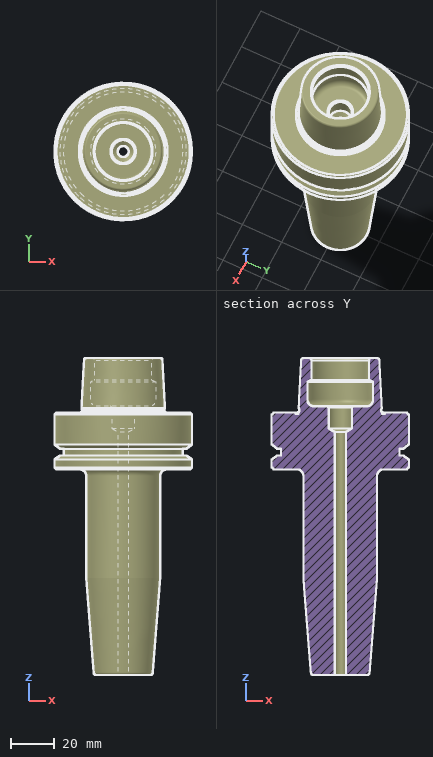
import cadquery as cq
import math

total_height = 145.0

flange_radius = 31.5
flange_top = 120.0
flange_bottom = 94.0
flange_chamfer = 1.0
groove_radius = 27.3
groove_ledge_radius = 28.9
groove_upper_edge = 105.4
groove_upper_floor = 103.4
groove_lower_floor = 100.5
groove_lower_edge = 98.6

taper_top_radius = 18.0
taper_base_radius = 19.1
taper_base = 122.1
taper_lip_fillet = 1.0
relief_radius = 18.8
relief_top = 121.4
relief_bottom = 120.6
root_radius = 19.3
root_top = 120.4
recess_outer_radius = 20.3
recess_depth = 0.6

neck_radius = 17.0
neck_fillet = 2.9
nose_cone_top = 44.4
nose_angle = math.radians(4.5)
nose_fillet = 1.0

mouth_radius = 13.5
mouth_chamfer_depth = 1.2
cavity_radius = 13.0
cavity_lip_depth = 10.0
shoulder_angle = math.radians(30)
chamber_radius = 15.0
cavity_depth = 22.0
cavity_floor_fillet = 2.9

bore_radius = 5.2
bore_chamfer = 0.6
bore_depth = 10.2
bore_tip_angle = math.radians(59)
through_radius = 2.5

cavity_floor = total_height - cavity_depth
nose_tip_radius = neck_radius - nose_cone_top * math.tan(nose_angle)


def arc_middle(center_r, center_z, radius, degrees):
    """Point on an arc in the radius-height plane, at an angle measured from the outward direction."""
    angle = math.radians(degrees)
    return (center_r + radius * math.cos(angle), center_z + radius * math.sin(angle))


def nose_radius(z):
    """Radius of the nose cone at height z."""
    return nose_tip_radius + z * math.tan(nose_angle)


def revolve_about_axis(profile):
    """Full turn of a radius-height profile around the Z axis."""
    return profile.revolve(360, (0, 0, 0), (0, 1, 0))


def make_outer_body():
    """Solid of the nose, neck, flange and taper, from the tip upward."""
    neck_arc_center_r = neck_radius + neck_fillet
    neck_arc_center_z = flange_bottom - neck_fillet
    lip_center_r = taper_top_radius - taper_lip_fillet
    lip_center_z = total_height - taper_lip_fillet
    recess_floor = flange_top - recess_depth
    profile = (
        cq.Workplane("XZ")
        .moveTo(0, 0)
        .lineTo(nose_tip_radius - nose_fillet, 0)
        .threePointArc(
            arc_middle(nose_tip_radius - nose_fillet, nose_fillet, nose_fillet, -45),
            (nose_radius(nose_fillet), nose_fillet),
        )
        .lineTo(neck_radius, nose_cone_top)
        .lineTo(neck_radius, neck_arc_center_z)
        .threePointArc(
            arc_middle(neck_arc_center_r, neck_arc_center_z, neck_fillet, 135),
            (neck_arc_center_r, flange_bottom),
        )
        .lineTo(flange_radius - flange_chamfer, flange_bottom)
        .lineTo(flange_radius, flange_bottom + flange_chamfer)
        .lineTo(flange_radius, groove_lower_edge)
        .lineTo(groove_ledge_radius, groove_lower_floor)
        .lineTo(groove_radius, groove_lower_floor)
        .lineTo(groove_radius, groove_upper_floor)
        .lineTo(groove_ledge_radius, groove_upper_floor)
        .lineTo(flange_radius, groove_upper_edge)
        .lineTo(flange_radius, flange_top - flange_chamfer)
        .lineTo(flange_radius - flange_chamfer, flange_top)
        .lineTo(recess_outer_radius, flange_top)
        .lineTo(recess_outer_radius, recess_floor)
        .lineTo(root_radius, recess_floor)
        .lineTo(root_radius, root_top)
        .lineTo(relief_radius, relief_bottom)
        .lineTo(relief_radius, relief_top)
        .lineTo(taper_base_radius, taper_base)
        .lineTo(taper_top_radius, lip_center_z)
        .threePointArc(
            arc_middle(lip_center_r, lip_center_z, taper_lip_fillet, 45),
            (lip_center_r, total_height),
        )
        .lineTo(0, total_height)
        .close()
    )
    return revolve_about_axis(profile)


def make_cavity():
    """Material removed along the axis, from the mouth of the taper downward."""
    fillet_center_r = chamber_radius - cavity_floor_fillet
    fillet_center_z = cavity_floor + cavity_floor_fillet
    shoulder = total_height - cavity_lip_depth
    shoulder_drop = (chamber_radius - cavity_radius) * math.tan(shoulder_angle)
    bore_bottom = cavity_floor - bore_depth
    tip_drop = (bore_radius - through_radius) / math.tan(bore_tip_angle)
    profile = (
        cq.Workplane("XZ")
        .moveTo(0, total_height)
        .lineTo(mouth_radius, total_height)
        .lineTo(cavity_radius, total_height - mouth_chamfer_depth)
        .lineTo(cavity_radius, shoulder)
        .lineTo(chamber_radius, shoulder - shoulder_drop)
        .lineTo(chamber_radius, fillet_center_z)
        .threePointArc(
            arc_middle(fillet_center_r, fillet_center_z, cavity_floor_fillet, -45),
            (fillet_center_r, cavity_floor),
        )
        .lineTo(bore_radius + bore_chamfer, cavity_floor)
        .lineTo(bore_radius, cavity_floor - bore_chamfer)
        .lineTo(bore_radius, bore_bottom)
        .lineTo(through_radius, bore_bottom - tip_drop)
        .lineTo(through_radius, 0)
        .lineTo(0, 0)
        .close()
    )
    return revolve_about_axis(profile)


result = make_outer_body().cut(make_cavity())